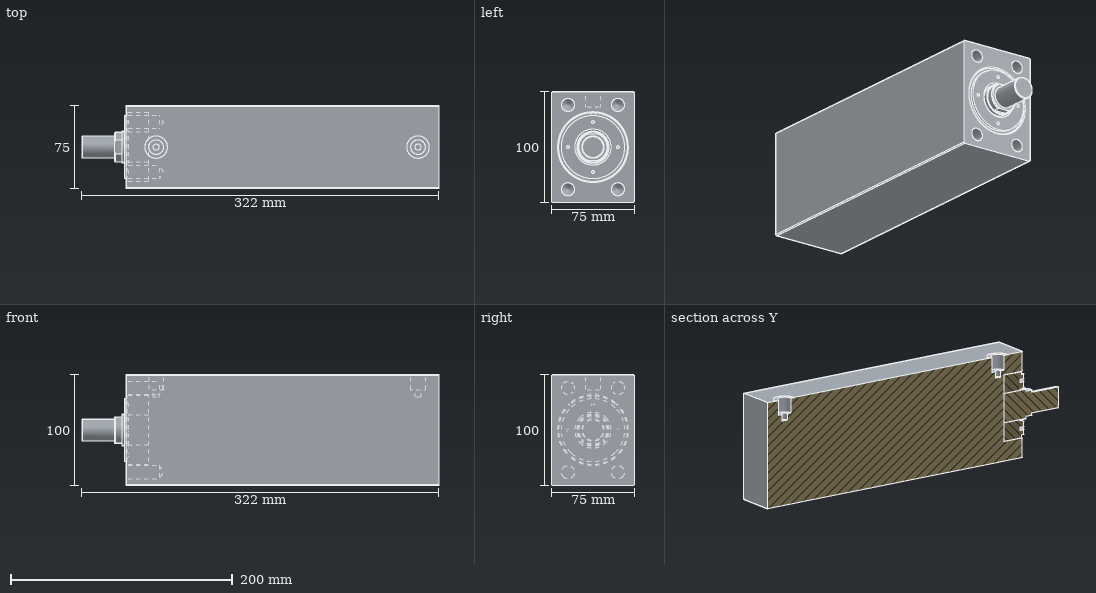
import cadquery as cq
import math


housing_length = 282.0
housing_width = 75.0
housing_height = 100.0
edge_chamfer = 1.0

mount_hole_diameter = 11.8
mount_hole_depth = 30.0
mount_spacing_y = 45.0
mount_spacing_z = 76.0
drill_point_angle = 118.0

port_front_inset = 27.0
port_rear_inset = 19.0
port_spotface_diameter = 20.2
port_spotface_depth = 0.2
port_diameter = 13.2
port_depth = 14.0
port_channel_diameter = 5.5
port_channel_depth = 20.0

gland_diameter = 62.0
gland_depth = 20.0
bore_chamfer = 0.9
gland_boss_diameter = 57.0
gland_boss_height = 1.7
spanner_hole_diameter = 2.5
spanner_hole_depth = 4.0
spanner_hole_count = 4
spanner_circle_diameter = 45.0

wiper_diameter = 29.0
wiper_projection = 2.3
wiper_seat_depth = 4.0
wiper_seat_chamfer = 1.75

rod_diameter = 27.0
rod_projection = 40.0
rod_end_diameter = 20.0
rod_end_length = 29.5
rod_chamfer = 0.8
rod_tip_chamfer = 0.6
flat_across = 24.0

gland_front = -gland_boss_height
wiper_front = gland_front - wiper_projection
wiper_back = gland_front + wiper_seat_depth
rod_tip = -rod_projection
rod_shoulder = rod_tip + rod_end_length
flat_length = wiper_front - rod_shoulder


def cylinder_x(diameter, start, end):
    """Solid cylinder on the X axis from x = start to x = end."""
    return cq.Workplane("YZ", origin=(start, 0, 0)).circle(diameter / 2).extrude(end - start)


def cone_x(start_diameter, start, end_diameter, end):
    """Solid truncated cone on the X axis from x = start to x = end."""
    cone = cq.Solid.makeCone(
        start_diameter / 2, end_diameter / 2, end - start, cq.Vector(start, 0, 0), cq.Vector(1, 0, 0)
    )
    return cq.Workplane(obj=cone)


def mount_hole():
    """Drilled hole along +X from the front face, with a conical bottom."""
    radius = mount_hole_diameter / 2
    point_length = radius / math.tan(math.radians(drill_point_angle / 2))
    point = cone_x(mount_hole_diameter, mount_hole_depth, 0, mount_hole_depth + point_length)
    return cylinder_x(mount_hole_diameter, 0, mount_hole_depth).union(point)


def port_cutter(x):
    """Spotface, port bore and inner channel sunk from the top face at the given x."""
    top = cq.Workplane("XY", origin=(x, 0, housing_height / 2))
    spotface = top.circle(port_spotface_diameter / 2).extrude(-port_spotface_depth)
    port = top.circle(port_diameter / 2).extrude(-port_depth)
    channel = top.circle(port_channel_diameter / 2).extrude(-port_channel_depth)
    return spotface.union(port).union(channel)


def make_housing():
    block = cq.Workplane("XY").box(
        housing_length, housing_width, housing_height, centered=(False, True, True)
    )
    block = block.edges("|X").chamfer(edge_chamfer)
    block = block.cut(cylinder_x(gland_diameter, 0, gland_depth))
    mouth_diameter = gland_diameter + 2 * bore_chamfer
    block = block.cut(cone_x(mouth_diameter, 0, gland_diameter, bore_chamfer))
    for side_y in (-1, 1):
        for side_z in (-1, 1):
            position = (0, side_y * mount_spacing_y / 2, side_z * mount_spacing_z / 2)
            block = block.cut(mount_hole().translate(position))
    for port_x in (port_front_inset, housing_length - port_rear_inset):
        block = block.cut(port_cutter(port_x))
    return block


def make_gland():
    gland = cylinder_x(gland_diameter, bore_chamfer, gland_depth)
    gland = gland.union(cylinder_x(gland_boss_diameter, gland_front, bore_chamfer))
    gland = gland.cut(cylinder_x(rod_diameter, gland_front, gland_depth))
    gland = gland.cut(cylinder_x(wiper_diameter, gland_front, wiper_back))
    seat_mouth_diameter = wiper_diameter + 2 * wiper_seat_chamfer
    gland = gland.cut(
        cone_x(seat_mouth_diameter, gland_front, wiper_diameter, gland_front + wiper_seat_chamfer)
    )
    spanner_hole = cylinder_x(spanner_hole_diameter, gland_front, gland_front + spanner_hole_depth)
    spanner_hole = spanner_hole.translate((0, spanner_circle_diameter / 2, 0))
    for index in range(spanner_hole_count):
        angle = index * 360 / spanner_hole_count
        gland = gland.cut(spanner_hole.rotate((0, 0, 0), (1, 0, 0), angle))
    return gland


def make_wiper():
    ring = cylinder_x(wiper_diameter, wiper_front, wiper_back)
    return ring.cut(cylinder_x(rod_diameter, wiper_front, wiper_back))


def make_rod():
    rod = cylinder_x(rod_diameter, rod_shoulder, gland_depth).faces("<X").chamfer(rod_chamfer)
    rod_end = cylinder_x(rod_end_diameter, rod_tip, rod_shoulder).faces("<X").chamfer(rod_tip_chamfer)
    rod = rod.union(rod_end)
    for side in (-1, 1):
        flat_cutter = cq.Workplane("XY").box(
            flat_length, rod_diameter, rod_diameter, centered=(False, True, True)
        )
        flat_offset = side * (flat_across + rod_diameter) / 2
        rod = rod.cut(flat_cutter.translate((rod_shoulder, 0, flat_offset)))
    return rod


housing = make_housing()
gland = make_gland()
wiper = make_wiper()
rod = make_rod()

result = cq.Compound.makeCompound([housing.val(), gland.val(), wiper.val(), rod.val()])